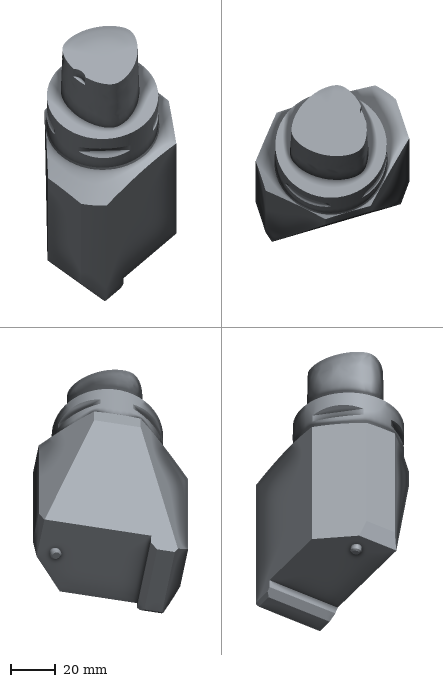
import cadquery as cq
import math


shank_length = 30.0
shank_base_radius = 17.6
shank_taper = 1 / 40
lobe_height = 1.4
lobe_points = 48
key_width = 7.0
key_diameter = 10.5
key_floor_y = -13.9
key_depth = 5.4

flange_diameter = 50.0
flange_height = 20.4
collar_diameter = 51.0
collar_bottom_z = -21.4

groove_z = -10.2
groove_floor_height = 3.4
groove_depth = 2.9
groove_flank_angle = 30.0
groove_count = 4

total_length = 125.0
bottom_z = shank_length - total_length
seat_z = -88.0
body_radius = 42.5
cone_angle = 15.0
body_left = -collar_diameter / 2
body_right = 30.0
body_back = 32.0
body_front = -37.0
left_flat_half_width = 10.6
back_right_corner = (10.9, 16.2)

slope_start_z = -29.2
slope_angle = 18.0

lip_inner_y = -18.9
lip_chamfer = 3.1
front_bevel_height = 12.0
front_bevel_angle = 30.0
back_bevel_height = 8.1
back_bevel_angle = 15.0
lip_corner_chamfer = 1.6

pin_diameter = 5.0
pin_length = 2.6
pin_root = 2.5
pin_tilt = 12.0
pin_center = (10.0, 22.0)
pin_chamfer = 0.8


def tan_deg(angle):
    return math.tan(math.radians(angle))


def lobe_outline(mean_radius):
    """Points of a three-lobed constant-width curve."""
    points = []
    for i in range(lobe_points):
        turn = 2 * math.pi * i / lobe_points
        reach = mean_radius + lobe_height * math.cos(3 * turn)
        swing = -3 * lobe_height * math.sin(3 * turn)
        along = reach * math.cos(turn) - swing * math.sin(turn)
        across = reach * math.sin(turn) + swing * math.cos(turn)
        points.append((-across, along))
    return points


def make_shank():
    top_radius = shank_base_radius - shank_length * shank_taper
    shank = (
        cq.Workplane("XY")
        .spline(lobe_outline(shank_base_radius), periodic=True).close()
        .workplane(offset=shank_length)
        .spline(lobe_outline(top_radius), periodic=True).close()
        .loft(ruled=True)
    )
    keyway = (
        cq.Workplane("XY", origin=(0, key_floor_y - key_diameter / 2, shank_length - key_depth))
        .circle(key_diameter / 2)
        .extrude(key_depth)
    )
    key_sides = cq.Workplane("XY").box(key_width, 2 * shank_base_radius, 2 * shank_length)
    keyway = keyway.intersect(key_sides)
    return shank.cut(keyway)


def make_flange():
    flange_radius = flange_diameter / 2
    collar_radius = collar_diameter / 2
    flange = (
        cq.Workplane("XZ")
        .polyline([
            (0, 0),
            (flange_radius, 0),
            (flange_radius, -flange_height),
            (collar_radius, collar_bottom_z),
            (0, collar_bottom_z),
        ])
        .close()
        .revolve(360, (0, 0), (0, 1))
    )
    floor = flange_radius - groove_depth
    outside = flange_radius + groove_depth
    floor_half = groove_floor_height / 2
    mouth_half = floor_half + (outside - floor) * tan_deg(groove_flank_angle)
    groove = (
        cq.Workplane("XZ")
        .polyline([
            (floor, groove_z - floor_half),
            (outside, groove_z - mouth_half),
            (outside, groove_z + mouth_half),
            (floor, groove_z + floor_half),
        ])
        .close()
        .extrude(flange_radius, both=True)
    )
    pitch = 360 / groove_count
    for i in range(groove_count):
        flange = flange.cut(groove.rotate((0, 0, 0), (0, 0, 1), (i + 0.5) * pitch))
    return flange


def make_body():
    collar_radius = collar_diameter / 2
    shoulder_z = collar_bottom_z - (body_radius - collar_radius) * tan_deg(cone_angle)
    blank = (
        cq.Workplane("XZ")
        .polyline([
            (0, collar_bottom_z),
            (collar_radius, collar_bottom_z),
            (body_radius, shoulder_z),
            (body_radius, bottom_z),
            (0, bottom_z),
        ])
        .close()
        .revolve(360, (0, 0), (0, 1))
    )

    back_cut = body_back - left_flat_half_width
    front_cut = -left_flat_half_width - body_front
    back_corner_x, right_corner_y = back_right_corner
    plan = (
        cq.Workplane("XY", origin=(0, 0, bottom_z))
        .polyline([
            (body_left, left_flat_half_width),
            (body_left + back_cut, body_back),
            (back_corner_x, body_back),
            (body_right, right_corner_y),
            (body_right, body_front),
            (body_left + front_cut, body_front),
            (body_left, -left_flat_half_width),
        ])
        .close()
        .extrude(-bottom_z)
    )

    back_bevel = back_bevel_height * tan_deg(back_bevel_angle)
    front_bevel = front_bevel_height * tan_deg(front_bevel_angle)
    side = (
        cq.Workplane("YZ")
        .polyline([
            (body_back, 0),
            (body_back, seat_z + back_bevel_height),
            (body_back - back_bevel, seat_z),
            (lip_inner_y, seat_z),
            (lip_inner_y, bottom_z + lip_chamfer),
            (lip_inner_y - lip_chamfer, bottom_z),
            (body_front + front_bevel, bottom_z),
            (body_front, bottom_z + front_bevel_height),
            (body_front, 0),
        ])
        .close()
        .extrude(body_radius, both=True)
    )

    slope_run = (slope_start_z - bottom_z) * tan_deg(slope_angle)
    front = (
        cq.Workplane("XZ")
        .polyline([
            (body_left, 0),
            (body_left, slope_start_z),
            (body_left + slope_run, bottom_z),
            (body_right - lip_corner_chamfer, bottom_z),
            (body_right, bottom_z + lip_corner_chamfer),
            (body_right, 0),
        ])
        .close()
        .extrude(body_radius, both=True)
    )
    return blank.intersect(plan).intersect(side).intersect(front)


def make_pin():
    pin_x, pin_y = pin_center
    pin = (
        cq.Workplane("XY")
        .workplane(offset=-pin_length)
        .circle(pin_diameter / 2)
        .extrude(pin_length + pin_root)
        .faces("<Z")
        .chamfer(pin_chamfer)
    )
    return pin.rotate((0, 0, 0), (1, 0, 0), -pin_tilt).translate((pin_x, pin_y, seat_z))


result = make_body().union(make_flange()).union(make_shank()).union(make_pin())